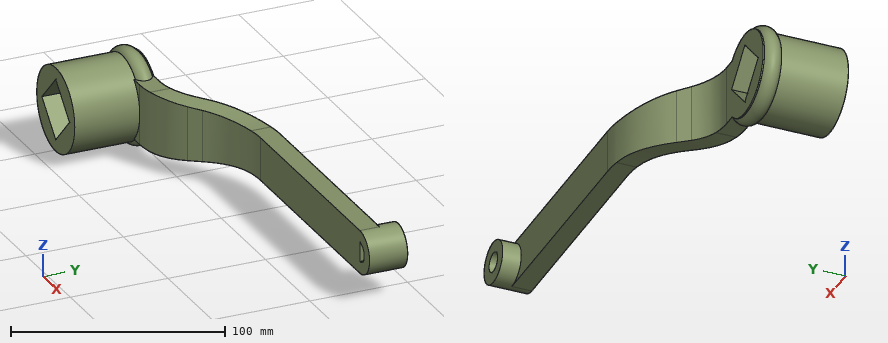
import cadquery as cq
import math

socket_diameter = 43.0
socket_length = 33.3
square_diagonal = 31.1

rim_diameter = 48.0
arm_thickness = 10.1
rim_back = socket_length + arm_thickness

overall_length = 236.0
overall_depth = 84.0
boss_diameter = 22.0
boss_hole_diameter = 10.0
boss_x = overall_length - rim_diameter / 2 - boss_diameter / 2

arm_start_x = 11.8
bend_start_x = socket_diameter / 2
bend_end_x = 89.2
arm_rise = 31.1
bend_angle = 45.0
first_bend_inner_radius = 29.7
handle_front = socket_length + arm_rise
handle_back = handle_front + arm_thickness
first_bend_outer_radius = first_bend_inner_radius + arm_thickness
bend_run = bend_end_x - bend_start_x
bend_radians = math.radians(bend_angle)
radius_sum = (
    bend_run * math.sin(bend_radians) - arm_rise * math.cos(bend_radians)
) / (1 - math.cos(bend_radians))
second_bend_outer_radius = radius_sum - first_bend_inner_radius
second_bend_inner_radius = second_bend_outer_radius - arm_thickness

arm_wide_height = 30.7
taper_start_x = 30.7
taper_end_x = 80.2


def cylinder_y(diameter, y_start, y_end):
    """Solid cylinder along Y, centred on X = Z = 0."""
    return (
        cq.Workplane("XZ", origin=(0, y_start, 0))
        .circle(diameter / 2)
        .extrude(y_start - y_end)
    )


def first_bend_point(radius, degrees):
    """Point on the first bend, which curves from +X towards +Y."""
    angle = math.radians(degrees)
    center_y = rim_back + first_bend_inner_radius
    return (bend_start_x + radius * math.sin(angle), center_y - radius * math.cos(angle))


def second_bend_point(radius, degrees):
    """Point on the second bend, which curves back to +X."""
    angle = math.radians(degrees)
    center_y = handle_back - second_bend_outer_radius
    return (bend_end_x - radius * math.sin(angle), center_y + radius * math.cos(angle))


def make_socket():
    barrel = cylinder_y(socket_diameter, 0, rim_back)
    edge_radius = arm_thickness / 2
    edge_center = rim_diameter / 2 - edge_radius
    rim = (
        cq.Workplane("XY")
        .moveTo(0, socket_length)
        .lineTo(edge_center, socket_length)
        .threePointArc((rim_diameter / 2, socket_length + edge_radius), (edge_center, rim_back))
        .lineTo(0, rim_back)
        .close()
        .revolve(360, (0, 0, 0), (0, 1, 0))
    )
    return barrel.union(rim)


def make_arm():
    crank = (
        cq.Workplane("XY", origin=(0, 0, -arm_wide_height / 2))
        .moveTo(arm_start_x, socket_length)
        .lineTo(*first_bend_point(first_bend_outer_radius, 0))
        .threePointArc(
            first_bend_point(first_bend_outer_radius, bend_angle / 2),
            first_bend_point(first_bend_outer_radius, bend_angle),
        )
        .lineTo(*second_bend_point(second_bend_inner_radius, bend_angle))
        .threePointArc(
            second_bend_point(second_bend_inner_radius, bend_angle / 2),
            second_bend_point(second_bend_inner_radius, 0),
        )
        .lineTo(boss_x, handle_front)
        .lineTo(boss_x, handle_back)
        .lineTo(*second_bend_point(second_bend_outer_radius, 0))
        .threePointArc(
            second_bend_point(second_bend_outer_radius, bend_angle / 2),
            second_bend_point(second_bend_outer_radius, bend_angle),
        )
        .lineTo(*first_bend_point(first_bend_inner_radius, bend_angle))
        .threePointArc(
            first_bend_point(first_bend_inner_radius, bend_angle / 2),
            first_bend_point(first_bend_inner_radius, 0),
        )
        .lineTo(arm_start_x, rim_back)
        .close()
        .extrude(arm_wide_height)
    )
    wide = arm_wide_height / 2
    narrow = boss_diameter / 2
    taper_third = (taper_end_x - taper_start_x) / 3
    taper_curve = [
        (taper_start_x, wide),
        (taper_start_x + taper_third, wide),
        (taper_end_x - taper_third, narrow),
        (taper_end_x, narrow),
    ]
    upper_half = (
        cq.Workplane("XZ")
        .moveTo(arm_start_x, 0)
        .lineTo(arm_start_x, wide)
        .lineTo(taper_start_x, wide)
        .bezier(taper_curve)
        .lineTo(boss_x, narrow)
        .lineTo(boss_x, 0)
        .close()
        .extrude(-overall_depth)
    )
    height_outline = upper_half.union(upper_half.mirror("XY"))
    return crank.intersect(height_outline)


def make_boss():
    boss = cylinder_y(boss_diameter, handle_front, overall_depth)
    hole = cylinder_y(boss_hole_diameter, handle_front, overall_depth)
    return boss.cut(hole).translate((boss_x, 0, 0))


def make_square_hole():
    half_diagonal = square_diagonal / 2
    corners = [(half_diagonal, 0), (0, half_diagonal), (-half_diagonal, 0), (0, -half_diagonal)]
    return cq.Workplane("XZ").polyline(corners).close().extrude(-rim_back)


result = make_socket().union(make_arm()).cut(make_square_hole()).union(make_boss())